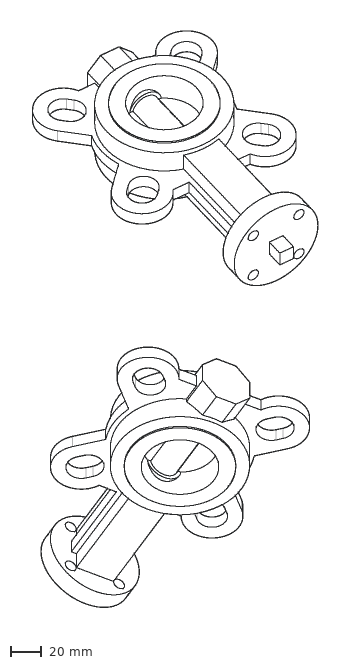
import cadquery as cq
import math


body_radius = 45.0
body_height = 42.1
seat_radius = 36.0
overall_height = 44.6
bore_radius = 25.0

plate_thickness = 9.4
rim_radius = 48.5
web_length = 110.1
lug_radius = 20.0
lug_x = 45.9
lug_y = 47.8
slot_radius = 10.0
slot_travel = 4.8

across_flats = 34.6
boss_end_x = -63.6

neck_width = 27.1
flange_x = 117.2
flange_radius = 32.5
flange_thickness = 13.1
bolt_circle_radius = 25.0
bolt_hole_diameter = 8.0
stem_square = 10.6
stem_end_x = 208.5 - (lug_x + lug_radius)

disc_thickness = 4.2
hub_radius = 10.0
hub_length = 43.8
bearing_radius = 12.5

SIGNS = (-1, 1)
DIAGONAL = math.sqrt(0.5)


def x_plane(x):
    """Plane facing +X with its first axis along +Y."""
    return cq.Workplane("YZ", origin=(x, 0, 0))


def disc(radius, thickness):
    """Disc on the Z axis, centred on the middle plane."""
    return cq.Workplane("XY").circle(radius).extrude(thickness / 2, both=True)


def make_lug(side_x, side_y):
    """Round lug whose inner side runs into the rim along a 45 degree tangent."""
    arm_step = lug_y * DIAGONAL
    tangent_x = lug_x - lug_radius * DIAGONAL
    tangent_y = lug_y + lug_radius * DIAGONAL
    arm = [
        (lug_x, lug_y),
        (tangent_x, tangent_y),
        (tangent_x - arm_step, tangent_y - arm_step),
        (lug_x - arm_step, lug_y - arm_step),
    ]
    arm = [(side_x * x, side_y * y) for x, y in arm]
    lug = disc(lug_radius, plate_thickness).translate((side_x * lug_x, side_y * lug_y, 0))
    return lug.union(cq.Workplane("XY").polyline(arm).close().extrude(plate_thickness / 2, both=True))


def make_slot(side_x, side_y):
    """Slot starting at the lug centre and running inward at 45 degrees."""
    offset = slot_travel * DIAGONAL / 2
    return (
        cq.Workplane("XY")
        .center(side_x * (lug_x - offset), side_y * (lug_y - offset))
        .slot2D(slot_travel + 2 * slot_radius, 2 * slot_radius, 45 * side_x * side_y)
        .extrude(plate_thickness, both=True)
    )


def make_plate():
    web_width = 2 * lug_y - lug_radius
    web = cq.Workplane("XY").box(web_length, web_width, plate_thickness)
    plate = disc(rim_radius, plate_thickness).union(web)
    corners = [(side_x, side_y) for side_x in SIGNS for side_y in SIGNS]
    for corner in corners:
        plate = plate.union(make_lug(*corner))
    for corner in corners:
        plate = plate.cut(make_slot(*corner))
    return plate


def make_octagon_boss():
    half = across_flats / 2
    half_flat = half * math.tan(math.pi / 8)
    outline = [
        (half, -half_flat), (half, half_flat), (half_flat, half), (-half_flat, half),
        (-half, half_flat), (-half, -half_flat), (-half_flat, -half), (half_flat, -half),
    ]
    return x_plane(boss_end_x).polyline(outline).close().extrude(-boss_end_x)


def make_neck():
    """Cross-shaped neck: a tall block with the plate continuing along both sides."""
    block = x_plane(0).rect(neck_width, across_flats).extrude(flange_x)
    return block.union(x_plane(0).rect(across_flats, plate_thickness).extrude(flange_x))


def make_flange():
    hole_spacing = 2 * bolt_circle_radius * DIAGONAL
    flange = x_plane(flange_x).circle(flange_radius).extrude(flange_thickness)
    holes = (
        x_plane(flange_x)
        .rect(hole_spacing, hole_spacing, forConstruction=True)
        .vertices()
        .circle(bolt_hole_diameter / 2)
        .extrude(flange_thickness)
    )
    stem = x_plane(flange_x).rect(stem_square, stem_square).extrude(stem_end_x - flange_x)
    return flange.cut(holes).union(stem)


def make_closing_disc():
    """Disc with a round hub, carried by larger bearings that reach into the body at both hub ends."""
    closing_disc = disc(bore_radius, disc_thickness)
    hub = x_plane(-hub_length / 2).circle(hub_radius).extrude(hub_length)
    closing_disc = closing_disc.union(hub)
    bearing_length = seat_radius - hub_length / 2
    for start in (-seat_radius, hub_length / 2):
        closing_disc = closing_disc.union(x_plane(start).circle(bearing_radius).extrude(bearing_length))
    return closing_disc


shell = disc(body_radius, body_height).union(disc(seat_radius, overall_height))
for feature in (make_plate(), make_octagon_boss(), make_neck(), make_flange()):
    shell = shell.union(feature)

result = shell.cut(disc(bore_radius, overall_height)).union(make_closing_disc())